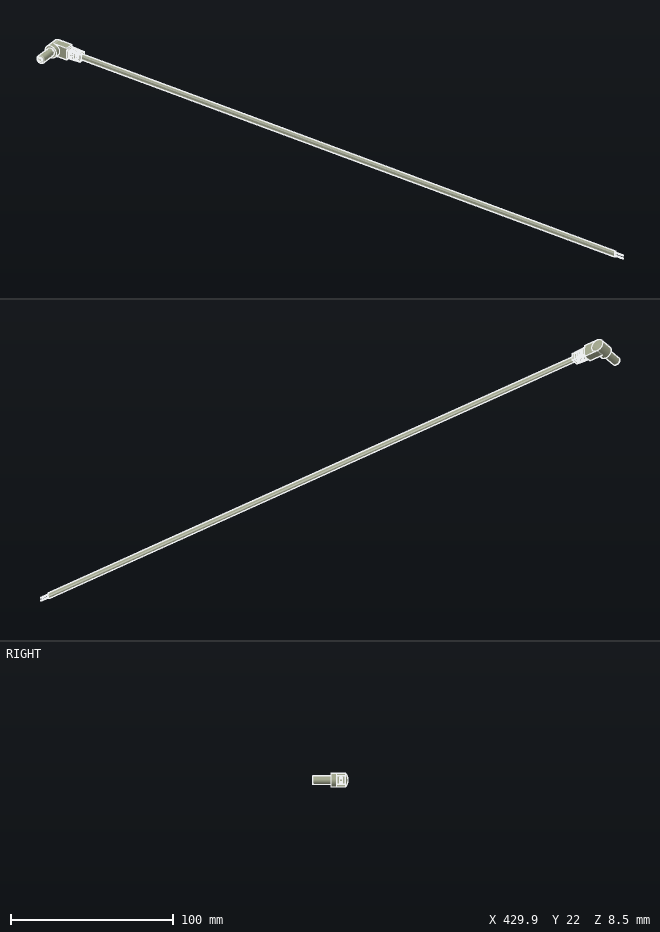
import cadquery as cq
import math


total_length = 429.9
total_depth = 22.0

barrel_diameter = 8.5
barrel_length = 9.0
dome_height = 1.6

sleeve_diameter = 5.5
sleeve_inner_diameter = 4.0
sleeve_edge_fillet = 0.6
core_bore = 2.1
core_bore_depth = 9.5

arm_end_x = 9.6
arm_thickness = 5.6

relief_end_x = 19.3
relief_base_size = 5.7
relief_tip_size = 5.0
notch_count = 5
first_notch_x = 11.2
notch_pitch = 1.6
notch_width = 0.6
notch_web = 1.3

cable_height = 4.2
cable_thickness = 2.0
conductor_diameter = 0.7
stripped_length = 6.0

barrel_radius = barrel_diameter / 2
sleeve_length = total_depth - barrel_length - dome_height
arm_center_y = barrel_length - arm_thickness / 2
cable_tip_x = total_length - barrel_radius
jacket_start_x = arm_end_x
jacket_end_x = cable_tip_x - stripped_length
conductor_offset_z = (cable_height - cable_thickness) / 2


def rod_along_y(diameter, start_y, end_y):
    return cq.Workplane("XZ", origin=(0, start_y, 0)).circle(diameter / 2).extrude(start_y - end_y)


def section_at(x):
    """Plane across the cable, centred on it: its local X is +Y and its local Y is +Z."""
    return cq.Workplane("YZ", origin=(x, arm_center_y, 0))


def make_barrel():
    back_y = barrel_length + dome_height
    dome_radius = (barrel_radius**2 + dome_height**2) / (2 * dome_height)
    middle_x = barrel_radius / 2
    middle_y = back_y - dome_radius + math.sqrt(dome_radius**2 - middle_x**2)
    profile = (
        cq.Workplane("XY")
        .lineTo(barrel_radius, 0)
        .lineTo(barrel_radius, barrel_length)
        .threePointArc((middle_x, middle_y), (0, back_y))
        .close()
    )
    return profile.revolve(360, (0, 0, 0), (0, 1, 0))


def make_arm():
    return section_at(0).rect(arm_thickness, barrel_diameter).extrude(arm_end_x)


def make_notch_pair(center_x, cut_y_sides):
    """Two cutters on opposite sides of the relief that leave a web between them."""
    depth = (relief_base_size - notch_web) / 2
    offset = (notch_web + depth) / 2
    plane = section_at(center_x - notch_width / 2)
    if cut_y_sides:
        notches = plane.pushPoints([(offset, 0), (-offset, 0)]).rect(depth, relief_base_size)
    else:
        notches = plane.pushPoints([(0, offset), (0, -offset)]).rect(relief_base_size, depth)
    return notches.extrude(notch_width)


def make_strain_relief():
    relief = (
        section_at(arm_end_x)
        .rect(relief_base_size, relief_base_size)
        .workplane(offset=relief_end_x - arm_end_x)
        .rect(relief_tip_size, relief_tip_size)
        .loft()
    )
    for index in range(notch_count):
        cut_y_sides = index % 2 == 0
        relief = relief.cut(make_notch_pair(first_notch_x + index * notch_pitch, cut_y_sides))
    return relief


def make_cable_jacket():
    section = section_at(jacket_start_x).slot2D(cable_height, cable_thickness, 90)
    return section.extrude(jacket_end_x - jacket_start_x)


def make_conductor(center_z):
    section = section_at(jacket_end_x).center(0, center_z).circle(conductor_diameter / 2)
    return section.extrude(stripped_length)


def make_sleeve():
    sleeve = rod_along_y(sleeve_diameter, -sleeve_length, 0)
    sleeve = sleeve.faces("<Y").edges().fillet(sleeve_edge_fillet)
    return sleeve.cut(rod_along_y(sleeve_inner_diameter, -sleeve_length, 0))


def make_core():
    core = rod_along_y(sleeve_inner_diameter, -sleeve_length, 0)
    return core.cut(rod_along_y(core_bore, -sleeve_length, core_bore_depth - sleeve_length))


cable_jacket = make_cable_jacket()
conductors = [make_conductor(z) for z in (conductor_offset_z, -conductor_offset_z)]
housing = make_barrel().union(make_arm()).union(make_strain_relief()).cut(cable_jacket)
sleeve = make_sleeve()
core = make_core()

bodies = [housing, sleeve, core, cable_jacket, *conductors]
result = cq.Compound.makeCompound([body.val() for body in bodies])